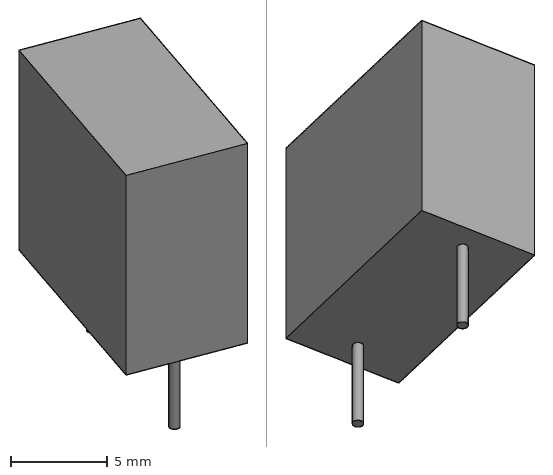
import cadquery as cq

body_length = 13.0
body_width = 7.0
body_height = 12.5

total_height = 17.6
lead_length = total_height - body_height
lead_diameter = 0.6
lead_pitch = 10.0


def make_body():
    """Plain rectangular body, centred on the Z axis."""
    return cq.Workplane("XY").box(body_length, body_width, body_height, centered=(True, True, False))


def make_lead(x):
    """Straight lead hanging from the underside of the body at the given X."""
    return cq.Workplane("XY").center(x, 0).circle(lead_diameter / 2).extrude(-lead_length)


body = make_body()
leads = [make_lead(side * lead_pitch / 2) for side in (-1, 1)]

result = cq.Compound.makeCompound([body.val(), *[lead.val() for lead in leads]])